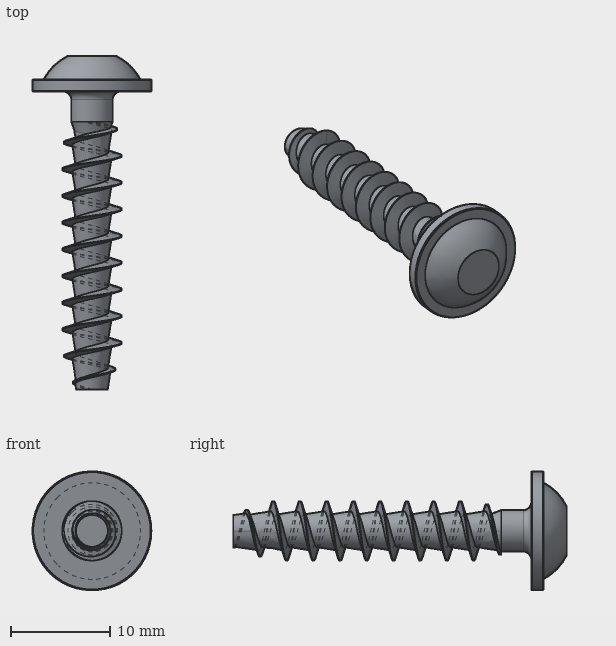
import cadquery as cq
import math


flange_diameter = 12.0
flange_thickness = 1.25
flange_chamfer = 0.1
head_height = 3.6
dome_base_radius = 4.87
dome_top_radius = 2.45

length = 30.0
shank_radius = 2.1
neck_fillet = 0.78
plain_length = 3.0
shoulder_length = 1.3
core_radius = 1.63
tip_radius = 1.6
tip_taper_length = 3.0
tip_taper_rise = 0.45
tip_overrun = 1.0

pitch = 2.69
crest_radius = 3.0
crest_width = 0.08
tooth_root_radius = 1.55
upper_flank_angle = 15.0
lower_flank_angle = 14.0
start_angle = 180.0
start_z = 2.42
runin_turns = 1.25
runin_drop = 0.75
runout_turns = 1.6
runout_drop = 1.44
thread_turns = 10.4

floor_high_radius = 2.03
floor_low_radius = 1.62
floor_low_position = 0.95 * pitch
floor_inner_radius = 1.2
floor_lead_turns = 0.5

trim_radius = crest_radius + 2.0


def head_and_core():
    """Revolved body: domed head, flange, filleted neck, plain shank and core.

    The core runs past the tip and is trimmed once the thread is on it.
    """
    flange_radius = flange_diameter / 2
    dome_height = head_height - flange_thickness
    centre_depth = (dome_base_radius**2 - dome_top_radius**2 - dome_height**2) / (2 * dome_height)
    sphere_radius = math.hypot(dome_base_radius, centre_depth)
    middle_height = dome_height / 2
    middle_radius = math.sqrt(sphere_radius**2 - (centre_depth + middle_height) ** 2)
    neck_middle = neck_fillet * (1 - math.sqrt(0.5))

    outline = (
        cq.Workplane("XZ")
        .moveTo(0, -head_height)
        .lineTo(dome_top_radius, -head_height)
        .threePointArc(
            (middle_radius, -flange_thickness - middle_height),
            (dome_base_radius, -flange_thickness),
        )
        .lineTo(flange_radius - flange_chamfer, -flange_thickness)
        .lineTo(flange_radius, -flange_thickness + flange_chamfer)
        .lineTo(flange_radius, -flange_chamfer)
        .lineTo(flange_radius - flange_chamfer, 0)
        .lineTo(shank_radius + neck_fillet, 0)
        .threePointArc(
            (shank_radius + neck_middle, neck_middle),
            (shank_radius, neck_fillet),
        )
        .lineTo(shank_radius, plain_length)
        .lineTo(core_radius, plain_length + shoulder_length)
        .lineTo(core_radius, length + tip_overrun)
        .lineTo(0, length + tip_overrun)
        .close()
    )
    return outline.revolve(360, (0, 0, 0), (0, 1, 0))


def helix_edge(radius, z, angle, turns, growth):
    """Right-hand helix from the given radius, height and angle; its radius changes by growth."""
    rise = turns * pitch
    if growth == 0:
        wire = cq.Wire.makeHelix(pitch, rise, radius)
    else:
        slope_length = math.hypot(rise, growth)
        cone_angle = math.degrees(math.atan2(growth, rise))
        wire = cq.Wire.makeHelix(slope_length / turns, slope_length, radius, angle=cone_angle)
    turned = wire.rotate(cq.Vector(0, 0, 0), cq.Vector(0, 0, 1), angle)
    return turned.translate(cq.Vector(0, 0, z)).Edges()[0]


def helical_solid(profile, stretches, start_turns=0):
    """Solid swept by a (radius, z) profile through successive (turns, growth) stretches.

    The profile starts start_turns along the thread and moves outward by each growth.
    """
    faces = []
    shift = 0
    turns_done = start_turns
    cap_edges = []
    for turns, growth in stretches:
        angle = start_angle + 360 * turns_done
        base_z = start_z + pitch * turns_done
        edges = [helix_edge(r + shift, base_z + z, angle, turns, growth) for r, z in profile]
        for first, second in zip(edges, edges[1:] + edges[:1]):
            faces.append(cq.Face.makeRuledSurface(first, second))
        cap_edges.append(edges)
        shift += growth
        turns_done += turns
    first_ring = [edge.startPoint() for edge in cap_edges[0]]
    last_ring = [edge.endPoint() for edge in cap_edges[-1]]
    for ring in (first_ring, last_ring):
        faces.append(cq.Face.makeFromWires(cq.Wire.makePolygon(ring, close=True)))
    return cq.Solid.makeSolid(cq.Shell.makeShell(faces))


def thread_tooth():
    """Thread ridge; it rises out of the shank at the start and sinks into the core at the tip."""
    depth = crest_radius - tooth_root_radius
    upper_run = depth * math.tan(math.radians(upper_flank_angle))
    lower_run = depth * math.tan(math.radians(lower_flank_angle))
    first_crest = crest_radius - runin_drop
    first_root = tooth_root_radius - runin_drop
    profile = [
        (first_root, -crest_width / 2 - upper_run),
        (first_crest, -crest_width / 2),
        (first_crest, crest_width / 2),
        (first_root, crest_width / 2 + lower_run),
    ]
    full_turns = thread_turns - runin_turns - runout_turns
    stretches = [(runin_turns, runin_drop), (full_turns, 0), (runout_turns, -runout_drop)]
    return helical_solid(profile, stretches)


def groove_floor():
    """Helical wedge that gives the groove between the teeth its sloping floor."""
    profile = [
        (floor_inner_radius, 0),
        (floor_high_radius, 0),
        (floor_low_radius, floor_low_position),
        (floor_inner_radius, floor_low_position),
    ]
    stretches = [(thread_turns + floor_lead_turns, 0)]
    return helical_solid(profile, stretches, start_turns=-floor_lead_turns)


def disc(radius, bottom, top):
    """Solid cylinder around the screw axis between two heights."""
    return cq.Workplane("XY").workplane(offset=bottom).circle(radius).extrude(top - bottom)


def tip_taper():
    """Ring to cut away around the core so that it narrows toward the tip."""
    return (
        cq.Workplane("XZ")
        .moveTo(tip_radius + tip_taper_rise, length - tip_taper_length)
        .lineTo(trim_radius, length - tip_taper_length)
        .lineTo(trim_radius, length + tip_taper_length)
        .lineTo(tip_radius - tip_taper_rise, length + tip_taper_length)
        .close()
        .revolve(360, (0, 0, 0), (0, 1, 0))
    )


below_shank = disc(trim_radius, plain_length, length + tip_taper_length)
beyond_tip = disc(trim_radius, length, length + 2 * tip_taper_length)
floor = below_shank.intersect(cq.Workplane(groove_floor()))
tooth = below_shank.intersect(cq.Workplane(thread_tooth()))

screw = head_and_core().union(floor, clean=False).cut(tip_taper(), clean=False)
screw = screw.union(tooth, clean=False).cut(beyond_tip, clean=False)
result = screw.rotate((0, 0, 0), (1, 0, 0), 90).solids()